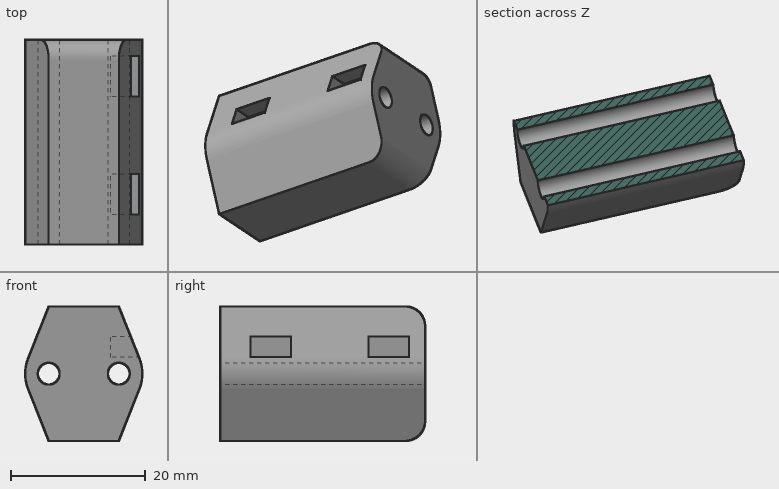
import cadquery as cq
import math

width = 17.44
length = 30.44
height = 20.0
flat_width = 10.4
ridge_radius = 6.0
end_fillet_radius = 3.0

hole_diameter = 3.2
hole_offset = flat_width / 2

slot_length = 6.0
slot_bottom = 2.5
slot_height = 3.0
slot_inner_x = 4.0
slot_centers_y = (7.5, 25.0)

half_width = width / 2
half_height = height / 2
half_flat = flat_width / 2
ridge_center_x = half_width - ridge_radius
corner_dx = half_flat - ridge_center_x
corner_distance = math.hypot(corner_dx, half_height)
tangent_angle = math.atan2(half_height, corner_dx) - math.acos(ridge_radius / corner_distance)
tangent_x = ridge_center_x + ridge_radius * math.cos(tangent_angle)
tangent_z = ridge_radius * math.sin(tangent_angle)


def make_body():
    """Six-sided bar along Y with rounded side ridges and a rounded +Y end."""
    bar = (
        cq.Workplane("XZ")
        .moveTo(-half_flat, half_height)
        .lineTo(half_flat, half_height)
        .lineTo(tangent_x, tangent_z)
        .threePointArc((half_width, 0), (tangent_x, -tangent_z))
        .lineTo(half_flat, -half_height)
        .lineTo(-half_flat, -half_height)
        .lineTo(-tangent_x, -tangent_z)
        .threePointArc((-half_width, 0), (-tangent_x, tangent_z))
        .close()
        .extrude(-length)
    )
    side_profile = (
        cq.Workplane("XY")
        .box(width, length, height, centered=(True, False, True))
        .faces(">Y")
        .edges("|X")
        .fillet(end_fillet_radius)
    )
    return bar.intersect(side_profile)


def make_holes():
    """Pair of round holes running the whole length."""
    return (
        cq.Workplane("XZ")
        .pushPoints([(-hole_offset, 0), (hole_offset, 0)])
        .circle(hole_diameter / 2)
        .extrude(-length)
    )


def make_slot(center_y):
    """Rectangular slot entering horizontally from the +X side."""
    return (
        cq.Workplane("XY")
        .box(half_width - slot_inner_x, slot_length, slot_height, centered=(False, True, False))
        .translate((slot_inner_x, center_y, slot_bottom))
    )


result = make_body().cut(make_holes())
for slot_center_y in slot_centers_y:
    result = result.cut(make_slot(slot_center_y))